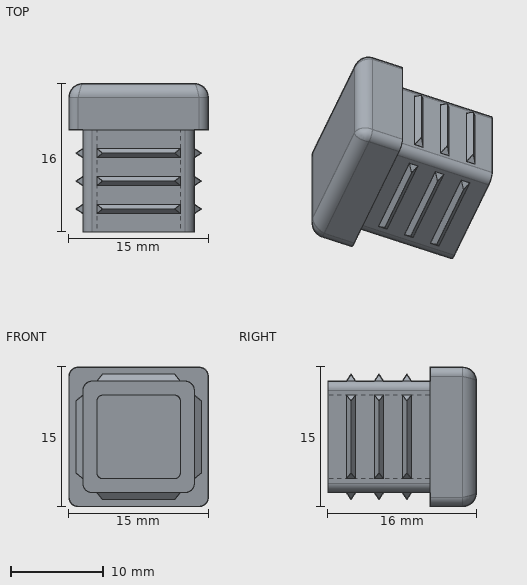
import cadquery as cq

total_length = 16
head_width = 15.0
head_length = 5.0
head_corner_radius = 1.0
head_edge_radius = 1.5

insert_length = total_length - head_length
insert_width = 12
insert_corner_radius = 1.0
wall = 1.5
cavity_width = insert_width - 2 * wall
cavity_corner_radius = 0.64
cavity_depth = insert_length

rib_length = 9.0
rib_width = 1.0
rib_height = 0.75
rib_end_slope = 0.6
rib_pitch = 3.0
ribs_per_wall = 3
wall_count = 4
first_rib_from_mouth = 2.5

mouth_y = -total_length / 2
head_y = mouth_y + insert_length


def square_bar(width, corner_radius, start_y, length):
    """Square bar along +Y with rounded long edges."""
    bar = cq.Workplane("XZ", origin=(0, start_y, 0)).rect(width, width).extrude(-length)
    return bar.edges("|Y").fillet(corner_radius)


def head():
    """Solid square cap, wider than the insert."""
    bar = square_bar(head_width, head_corner_radius, head_y, head_length)
    return bar.faces(">Y").edges().fillet(head_edge_radius)


def insert():
    """Hollow square tube, open at the mouth and closed by the head."""
    bar = square_bar(insert_width, insert_corner_radius, mouth_y, insert_length)
    cavity = square_bar(cavity_width, cavity_corner_radius, mouth_y, cavity_depth)
    return bar.cut(cavity)


def rib(center_y):
    """Ridge on the top wall, running along X, triangular in section with sloped ends."""
    half_length = rib_length / 2
    base_z = insert_width / 2
    prism = (
        cq.Workplane("YZ", origin=(-half_length, center_y, base_z))
        .polyline([(-rib_width / 2, 0), (0, rib_height), (rib_width / 2, 0)])
        .close()
        .extrude(rib_length)
    )
    half_crest = half_length - rib_end_slope
    end_profile = (
        cq.Workplane("XZ", origin=(0, center_y, base_z))
        .polyline([(-half_length, 0), (-half_crest, rib_height), (half_crest, rib_height), (half_length, 0)])
        .close()
        .extrude(rib_width / 2, both=True)
    )
    return prism.intersect(end_profile)


result = head().union(insert())

for row in range(ribs_per_wall):
    row_rib = rib(mouth_y + first_rib_from_mouth + row * rib_pitch)
    for side in range(wall_count):
        result = result.union(row_rib.rotate((0, 0, 0), (0, 1, 0), side * 360 / wall_count))